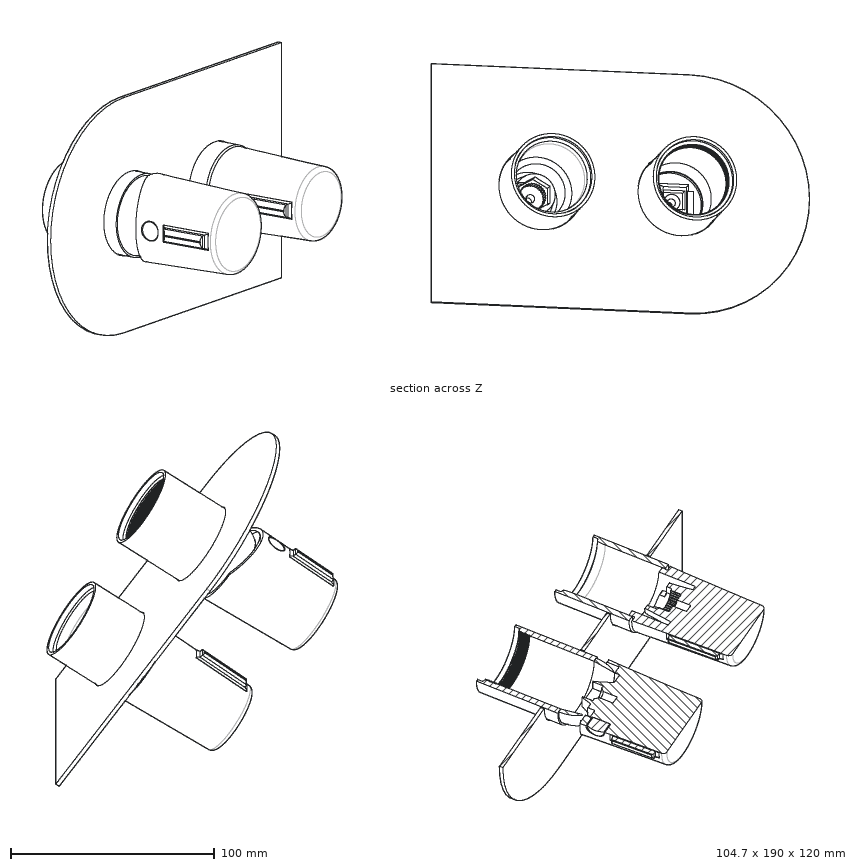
import cadquery as cq
import math


PLATE_LENGTH = 190.0
PLATE_HEIGHT = 120.0
PLATE_BACK = 36.0
PLATE_THICKNESS = 2.0
PLATE_HOLE_DIAMETER = 42.5

FLOW_Y = 39.9
SAFETY_Y = -30.0

SLEEVE_DIAMETER = 42.0
MOUTH_DIAMETER = 39.0
MOUTH_DEPTH = 2.7
SEAT_DEPTH = 3.5
SEAT_DIAMETER = 35.7
BORE_DIAMETER = 35.0
FLOW_SLEEVE_BACK = 6.8
FLOW_SLEEVE_FRONT = 48.3
LEAD_IN_END = 8.0
SAFETY_SLEEVE_BACK = 0.0
SAFETY_SLEEVE_FRONT = 45.5
THREAD_START = 4.2
THREAD_PITCH = 1.0
THREAD_COUNT = 6

COLLAR_DIAMETER = 40.0
COLLAR_LENGTH = 12.4
COLLAR_FRONT = SAFETY_SLEEVE_FRONT + COLLAR_LENGTH
CAVITY_DIAMETER = 31.0

FLOW_KNOB_BACK = 49.4
FLOW_KNOB_FRONT = 103.5
FLOW_KNOB_FILLET = 2.3
FLOW_KNOB_BACK_RADIUS = 20.3
FLOW_KNOB_FRONT_RADIUS = 18.6
NECK_ENGAGEMENT = 1.9
RECESS_DIAMETER = 28.3
RECESS_FLOOR = 66.5
HUB_BACK = 51.3
HUB_BASE_DIAMETER = 24.0
HUB_TIP_DIAMETER = 20.3
HEX_FLATS = 14.8
HEX_DEPTH = 5.7
SPLINE_DIAMETER = 12.5
SPLINE_TOOTH_DEPTH = 0.4
SPLINE_TEETH = 32
SPLINE_DEPTH = 5.7
HUB_SLOT_WIDTH = 10.8
HUB_SLOT_DEPTH = 2.8
SCREW_HOLE_DIAMETER = 4.2
SCREW_HOLE_DEPTH = 7.6

SAFETY_KNOB_BACK = 51.1
SAFETY_KNOB_FRONT = 104.7
SAFETY_KNOB_FILLET = 1.9
SAFETY_KNOB_BACK_RADIUS = 22.0
SAFETY_KNOB_FRONT_RADIUS = 20.3
SKIRT_DIAMETER = 39.9
SKIRT_CUT_START = 2.8
SKIRT_CUT_LENGTH = 7.0
CAVITY_FLOOR = 60.5
STUB_HEIGHT = 9.5
STUB_BASE_WIDTH = 20.1
STUB_BASE_BOTTOM = -9.1
STUB_BASE_TOP = 7.5
STUB_BASE_CREST = 10.0
STUB_TIP_WIDTH = 13.0
STUB_TIP_BOTTOM = -6.0
STUB_TIP_TOP = 5.5
STUB_TIP_CREST = 5.9
STUB_STEP_BOTTOM = -10.8
STUB_STEP_WIDTH = 11.8
STUB_STEP_HEIGHT = 3.8
SOCKET_WIDTH = 9.5
SOCKET_HEIGHT = 10.6
SOCKET_DEPTH = 5.7
COUNTERSINK_DIAMETER = 8.0

BUTTON_X = 66.5
BUTTON_DIAMETER = 9.5
BUTTON_HOLE_DIAMETER = 10.0
BUTTON_SEAT = 15.2
BUTTON_EDGE = 21.0
BUTTON_TOP = 22.5

TAB_HEIGHT = 2.8
TAB_ROOT = 1.5
TAB_SHOULDER = 2.0
TAB_FOOT_HALF_WIDTH = 4.4
TAB_FOOT_DROP = 0.4
TAB_FOOT_RISE = 0.5
TAB_WAIST_HALF_WIDTH = 3.5
TAB_TOP_HALF_WIDTH = 3.2
TAB_FOOT_LENGTH = 1.7
TAB_WAIST_LENGTH = 1.9
TAB_END_CHAMFER = 1.0
TAB_GROOVE_WIDTH = 0.5
TAB_GROOVE_DEPTH = 0.2
SAFETY_TAB_START = 74.5
SAFETY_TAB_LENGTH = 27.0
FLOW_TAB_START = 68.4
FLOW_TAB_LENGTH = 31.0


def disc(diameter, start, end, y):
    """Cylinder along X between two X positions."""
    return cq.Workplane("YZ", origin=(start, y, 0)).circle(diameter / 2).extrude(end - start)


def cone(start_radius, end_radius, start, end, y):
    """Truncated cone along X."""
    solid = cq.Solid.makeCone(
        start_radius, end_radius, end - start, cq.Vector(start, y, 0), cq.Vector(1, 0, 0)
    )
    return cq.Workplane(solid)


def make_plate():
    half = PLATE_HEIGHT / 2
    bottom = -PLATE_LENGTH / 2
    top = PLATE_LENGTH / 2
    arc_centre = bottom + half
    plate = (
        cq.Workplane("YZ", origin=(PLATE_BACK, 0, 0))
        .moveTo(top, -half)
        .lineTo(top, half)
        .lineTo(arc_centre, half)
        .threePointArc((bottom, 0), (arc_centre, -half))
        .close()
        .extrude(PLATE_THICKNESS)
    )
    for y in (FLOW_Y, SAFETY_Y):
        plate = plate.cut(disc(PLATE_HOLE_DIAMETER, PLATE_BACK, PLATE_BACK + PLATE_THICKNESS, y))
    return plate


def sleeve_blank(y, back, front):
    """Tube with a wider mouth at its back end and a steep cone down to the seat."""
    sleeve = disc(SLEEVE_DIAMETER, back, front, y)
    sleeve = sleeve.cut(disc(BORE_DIAMETER, back, front, y))
    sleeve = sleeve.cut(disc(MOUTH_DIAMETER, back, back + MOUTH_DEPTH, y))
    seat_cone = cone(MOUTH_DIAMETER / 2, SEAT_DIAMETER / 2, back + MOUTH_DEPTH, back + SEAT_DEPTH, y)
    return sleeve.cut(seat_cone)


def make_flow_sleeve():
    sleeve = sleeve_blank(FLOW_Y, FLOW_SLEEVE_BACK, FLOW_SLEEVE_FRONT)
    lead_in = cone(
        SEAT_DIAMETER / 2,
        BORE_DIAMETER / 2,
        FLOW_SLEEVE_BACK + SEAT_DEPTH,
        FLOW_SLEEVE_BACK + LEAD_IN_END,
        FLOW_Y,
    )
    return sleeve.cut(lead_in)


def make_safety_sleeve():
    sleeve = sleeve_blank(SAFETY_Y, SAFETY_SLEEVE_BACK, SAFETY_SLEEVE_FRONT)
    for i in range(THREAD_COUNT):
        start = SAFETY_SLEEVE_BACK + THREAD_START + i * THREAD_PITCH
        sleeve = sleeve.cut(disc(SEAT_DIAMETER, start, start + THREAD_PITCH / 2, SAFETY_Y))
    return sleeve


def make_collar():
    """Ball zone that starts at its equator on the sleeve end; its bore narrows toward the knob."""
    ball_radius = COLLAR_DIAMETER / 2
    end_angle = math.asin(COLLAR_LENGTH / ball_radius)

    def ball_point(angle):
        return ball_radius * math.sin(angle), ball_radius * math.cos(angle)

    profile = (
        cq.Workplane("XY")
        .moveTo(0, BORE_DIAMETER / 2)
        .lineTo(*ball_point(0))
        .threePointArc(ball_point(end_angle / 2), ball_point(end_angle))
        .lineTo(COLLAR_LENGTH, CAVITY_DIAMETER / 2)
        .close()
    )
    collar = profile.revolve(360, (0, 0, 0), (1, 0, 0))
    return collar.translate((SAFETY_SLEEVE_FRONT, SAFETY_Y, 0))


def flow_knob_blank():
    blank = cone(FLOW_KNOB_BACK_RADIUS, FLOW_KNOB_FRONT_RADIUS, FLOW_KNOB_BACK, FLOW_KNOB_FRONT, FLOW_Y)
    return blank.faces(">X").edges().fillet(FLOW_KNOB_FILLET)


def safety_knob_blank():
    blank = cone(
        SAFETY_KNOB_BACK_RADIUS, SAFETY_KNOB_FRONT_RADIUS, SAFETY_KNOB_BACK, SAFETY_KNOB_FRONT, SAFETY_Y
    )
    return blank.faces(">X").edges().fillet(SAFETY_KNOB_FILLET)


def spline_hole(start):
    """Toothed hole: root and tip points alternate round the axis."""
    tip = SPLINE_DIAMETER / 2
    root = tip + SPLINE_TOOTH_DEPTH
    points = []
    for i in range(2 * SPLINE_TEETH):
        radius = root if i % 2 else tip
        angle = math.pi * i / SPLINE_TEETH
        points.append((radius * math.cos(angle), radius * math.sin(angle)))
    return cq.Workplane("YZ", origin=(start, FLOW_Y, 0)).polyline(points).close().extrude(SPLINE_DEPTH)


def flow_hub():
    """Tapered hub with a hexagon socket, a toothed hole and one side slot."""
    hub = cone(HUB_TIP_DIAMETER / 2, HUB_BASE_DIAMETER / 2, HUB_BACK, RECESS_FLOOR, FLOW_Y)
    hex_corners = HEX_FLATS / math.cos(math.pi / 6)
    hexagon = (
        cq.Workplane("YZ", origin=(HUB_BACK, FLOW_Y, 0))
        .transformed(rotate=(0, 0, 90))
        .polygon(6, hex_corners)
        .extrude(HEX_DEPTH)
    )
    slot = cq.Workplane("XY").box(
        HUB_SLOT_DEPTH, HUB_BASE_DIAMETER / 2, HUB_SLOT_WIDTH, centered=(False, False, True)
    )
    slot = slot.translate((HUB_BACK, FLOW_Y, 0))
    return hub.cut(hexagon).cut(spline_hole(HUB_BACK + HEX_DEPTH)).cut(slot)


def make_flow_knob():
    neck_back = FLOW_SLEEVE_FRONT - NECK_ENGAGEMENT
    knob = flow_knob_blank().union(disc(BORE_DIAMETER, neck_back, FLOW_KNOB_BACK, FLOW_Y))
    knob = knob.cut(disc(RECESS_DIAMETER, neck_back, RECESS_FLOOR, FLOW_Y))
    knob = knob.union(flow_hub())
    screw_start = HUB_BACK + HEX_DEPTH + SPLINE_DEPTH
    return knob.cut(disc(SCREW_HOLE_DIAMETER, screw_start, screw_start + SCREW_HOLE_DEPTH, FLOW_Y))


def stub_outline(plane, bottom, top, crest, width):
    """Rectangle whose +Y side bulges out to an arc."""
    half = width / 2
    return (
        plane.moveTo(top, half)
        .lineTo(bottom, half)
        .lineTo(bottom, -half)
        .lineTo(top, -half)
        .threePointArc((crest, 0), (top, half))
        .close()
    )


def safety_stub():
    """Tapered stub on the cavity floor, with a low step on its -Y side and a rectangular socket."""
    base = cq.Workplane("YZ", origin=(CAVITY_FLOOR, SAFETY_Y, 0))
    outline = stub_outline(base, STUB_BASE_BOTTOM, STUB_BASE_TOP, STUB_BASE_CREST, STUB_BASE_WIDTH)
    tip = outline.workplane(offset=-STUB_HEIGHT)
    stub = stub_outline(tip, STUB_TIP_BOTTOM, STUB_TIP_TOP, STUB_TIP_CREST, STUB_TIP_WIDTH).loft(ruled=True)
    socket = (
        cq.Workplane("YZ", origin=(CAVITY_FLOOR - STUB_HEIGHT, SAFETY_Y, 0))
        .rect(SOCKET_HEIGHT, SOCKET_WIDTH)
        .extrude(SOCKET_DEPTH)
    )
    step = cq.Workplane("XY").box(
        STUB_STEP_HEIGHT, -STUB_STEP_BOTTOM, STUB_STEP_WIDTH, centered=(False, False, True)
    )
    step = step.translate((CAVITY_FLOOR - STUB_STEP_HEIGHT, SAFETY_Y + STUB_STEP_BOTTOM, 0))
    return stub.union(step).cut(socket)


def skirt_cut():
    """Wedge that slants the back edge of the knob on its -Y side."""
    return (
        cq.Workplane("XY", origin=(SAFETY_KNOB_BACK, SAFETY_Y, 0))
        .moveTo(0, -SKIRT_CUT_START)
        .lineTo(SKIRT_CUT_LENGTH, -SAFETY_KNOB_BACK_RADIUS)
        .lineTo(0, -SAFETY_KNOB_BACK_RADIUS)
        .close()
        .extrude(SAFETY_KNOB_BACK_RADIUS, both=True)
    )


def make_safety_knob():
    knob = safety_knob_blank().cut(skirt_cut())
    knob = knob.cut(disc(SKIRT_DIAMETER, SAFETY_KNOB_BACK, COLLAR_FRONT, SAFETY_Y))
    knob = knob.cut(disc(CAVITY_DIAMETER, COLLAR_FRONT, CAVITY_FLOOR, SAFETY_Y))
    button_hole = (
        cq.Workplane("XZ", origin=(BUTTON_X, SAFETY_Y - BUTTON_SEAT, 0))
        .circle(BUTTON_HOLE_DIAMETER / 2)
        .extrude(SAFETY_KNOB_BACK_RADIUS)
    )
    knob = knob.cut(button_hole).union(safety_stub())
    socket_floor = CAVITY_FLOOR - STUB_HEIGHT + SOCKET_DEPTH
    screw_radius = SCREW_HOLE_DIAMETER / 2
    sink_radius = COUNTERSINK_DIAMETER / 2
    sink_floor = socket_floor + sink_radius - screw_radius
    knob = knob.cut(cone(sink_radius, screw_radius, socket_floor, sink_floor, SAFETY_Y))
    return knob.cut(disc(SCREW_HOLE_DIAMETER, sink_floor, sink_floor + SCREW_HOLE_DEPTH, SAFETY_Y))


def make_button():
    """Push button pointing toward -Y with a spherical dome on its outer end."""
    dome_rise = BUTTON_TOP - BUTTON_EDGE
    dome_radius = ((BUTTON_DIAMETER / 2) ** 2 + dome_rise**2) / (2 * dome_rise)
    stem = (
        cq.Workplane("XZ", origin=(BUTTON_X, SAFETY_Y - BUTTON_SEAT, 0))
        .circle(BUTTON_DIAMETER / 2)
        .extrude(BUTTON_TOP - BUTTON_SEAT)
    )
    dome_centre = SAFETY_Y - BUTTON_TOP + dome_radius
    dome = cq.Workplane("XY", origin=(BUTTON_X, dome_centre, 0)).sphere(dome_radius)
    return stem.intersect(dome)


def make_tab(blank, y, knob_back, knob_front, back_radius, front_radius, start, length):
    """Crowned bar lying along the -Y side of a knob and tilted to follow its taper."""
    section = (
        cq.Workplane("YZ")
        .moveTo(TAB_ROOT, -TAB_FOOT_HALF_WIDTH)
        .lineTo(TAB_FOOT_DROP, -TAB_FOOT_HALF_WIDTH)
        .lineTo(-TAB_FOOT_RISE, -TAB_WAIST_HALF_WIDTH)
        .lineTo(-TAB_SHOULDER, -TAB_TOP_HALF_WIDTH)
        .threePointArc((-TAB_HEIGHT, 0), (-TAB_SHOULDER, TAB_TOP_HALF_WIDTH))
        .lineTo(-TAB_FOOT_RISE, TAB_WAIST_HALF_WIDTH)
        .lineTo(TAB_FOOT_DROP, TAB_FOOT_HALF_WIDTH)
        .lineTo(TAB_ROOT, TAB_FOOT_HALF_WIDTH)
        .close()
        .extrude(length)
    )
    crown_start = TAB_WAIST_LENGTH + TAB_END_CHAMFER
    side = (
        cq.Workplane("XY")
        .moveTo(0, TAB_ROOT)
        .lineTo(0, 0)
        .lineTo(TAB_FOOT_LENGTH, -TAB_FOOT_RISE)
        .lineTo(TAB_WAIST_LENGTH, -TAB_SHOULDER)
        .lineTo(crown_start, -TAB_HEIGHT)
        .lineTo(length - crown_start, -TAB_HEIGHT)
        .lineTo(length - TAB_WAIST_LENGTH, -TAB_SHOULDER)
        .lineTo(length - TAB_FOOT_LENGTH, -TAB_FOOT_RISE)
        .lineTo(length, 0)
        .lineTo(length, TAB_ROOT)
        .close()
        .extrude(TAB_FOOT_HALF_WIDTH, both=True)
    )
    groove = cq.Workplane("XY").box(
        length, 2 * TAB_GROOVE_DEPTH, TAB_GROOVE_WIDTH, centered=(False, True, True)
    )
    groove = groove.translate((0, -TAB_HEIGHT, 0))
    tab = section.intersect(side).cut(groove)
    slope = (back_radius - front_radius) / (knob_front - knob_back)
    surface_radius = back_radius - slope * (start - knob_back)
    tab = tab.rotate((0, 0, 0), (0, 0, 1), math.degrees(math.atan(slope)))
    return tab.translate((start, y - surface_radius, 0)).cut(blank)


plate = make_plate()
flow_sleeve = make_flow_sleeve()
safety_sleeve = make_safety_sleeve()
collar = make_collar()
flow_knob = make_flow_knob()
safety_knob = make_safety_knob()
button = make_button()
flow_tab = make_tab(
    flow_knob_blank(), FLOW_Y, FLOW_KNOB_BACK, FLOW_KNOB_FRONT, FLOW_KNOB_BACK_RADIUS,
    FLOW_KNOB_FRONT_RADIUS, FLOW_TAB_START, FLOW_TAB_LENGTH,
)
safety_tab = make_tab(
    safety_knob_blank(), SAFETY_Y, SAFETY_KNOB_BACK, SAFETY_KNOB_FRONT, SAFETY_KNOB_BACK_RADIUS,
    SAFETY_KNOB_FRONT_RADIUS, SAFETY_TAB_START, SAFETY_TAB_LENGTH,
)

result = cq.Compound.makeCompound(
    [
        plate.solids().val(),
        flow_sleeve.solids().val(),
        safety_sleeve.solids().val(),
        collar.solids().val(),
        flow_knob.solids().val(),
        safety_knob.solids().val(),
        button.solids().val(),
        flow_tab.solids().val(),
        safety_tab.solids().val(),
    ]
)